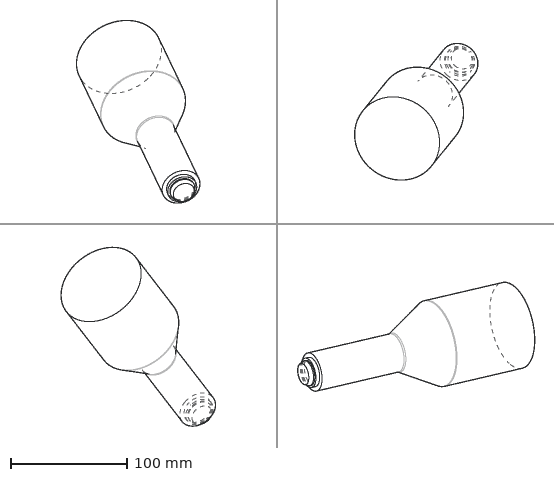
import cadquery as cq
import math

total_length = 209.0
body_end = 78.2
taper_end = 117.5
shank_end = 200.3
collar_end = 204.0
tip_land_end = 205.3

body_radius = 37.95
shank_radius = 17.0
collar_radius = 13.0
tip_land_radius = 11.0
tip_end_radius = 9.5

shoulder_setback = 0.5
neck_setback = 0.8

taper_angle = math.atan2(body_radius - shank_radius, taper_end - body_end)


def taper_point(distance, corner_x, corner_radius):
    """Point on the taper line at a signed distance from one of its corners."""
    return (
        corner_x + distance * math.cos(taper_angle),
        corner_radius - distance * math.sin(taper_angle),
    )


def blend_middle(start, end, bulge_side):
    """Middle of an arc turning through the taper angle between two points."""
    dx = end[0] - start[0]
    dr = end[1] - start[1]
    sagitta_ratio = math.tan(taper_angle / 4) / 2
    return (
        (start[0] + end[0]) / 2 - bulge_side * dr * sagitta_ratio,
        (start[1] + end[1]) / 2 + bulge_side * dx * sagitta_ratio,
    )


shoulder_start = (body_end - shoulder_setback, body_radius)
shoulder_finish = taper_point(shoulder_setback, body_end, body_radius)
neck_start = taper_point(-neck_setback, taper_end, shank_radius)
neck_finish = (taper_end + neck_setback, shank_radius)

flank_length = total_length - tip_land_end
flank_drop = tip_land_radius - tip_end_radius
flank_arc_radius = (flank_length**2 + flank_drop**2) / (2 * flank_drop)
flank_half_angle = math.atan2(flank_drop, flank_length)
flank_middle = (
    total_length - flank_arc_radius * math.sin(flank_half_angle),
    tip_end_radius + flank_arc_radius * (1 - math.cos(flank_half_angle)),
)

profile = (
    cq.Workplane("XY")
    .moveTo(0, 0)
    .lineTo(0, body_radius)
    .lineTo(*shoulder_start)
    .threePointArc(blend_middle(shoulder_start, shoulder_finish, 1), shoulder_finish)
    .lineTo(*neck_start)
    .threePointArc(blend_middle(neck_start, neck_finish, -1), neck_finish)
    .lineTo(shank_end, shank_radius)
    .lineTo(shank_end, collar_radius)
    .lineTo(collar_end, collar_radius)
    .lineTo(collar_end, tip_land_radius)
    .lineTo(tip_land_end, tip_land_radius)
    .threePointArc(flank_middle, (total_length, tip_end_radius))
    .lineTo(total_length, 0)
    .close()
)

result = profile.revolve(360, (0, 0, 0), (1, 0, 0))